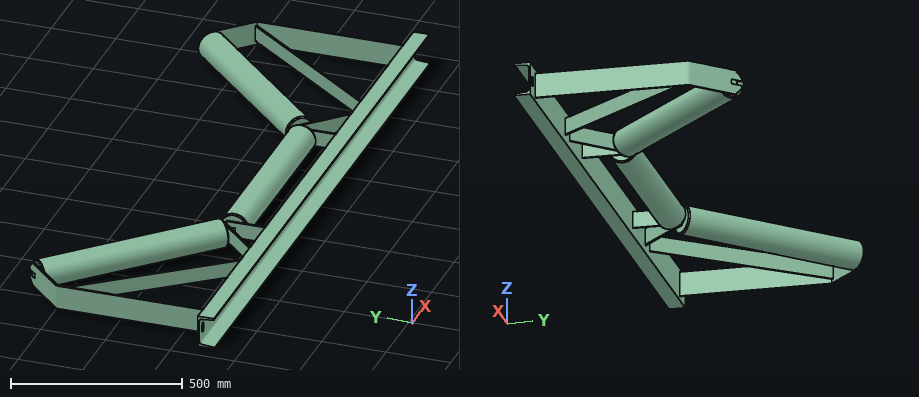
import cadquery as cq
import math


BEAM_LENGTH = 1900.0
BEAM_HEIGHT = 100.0
BEAM_DEPTH = 50.0
WEB_THICKNESS = 5.0
FLANGE_THICKNESS = 7.5
FLANGE_TAPER = 5.0
ROOT_RADIUS = 8.0
TOE_RADIUS = 4.0
BOLT_SLOT_WIDTH = 18.0
BOLT_SLOT_LENGTH = 28.0
BOLT_SLOT_INSET = 30.0

BAR_THICKNESS = 6.0
BAR_GAP = 8.0
OUTER_WIDTH = 75.0
OUTER_TIP_LENGTH = 26.0
OUTER_TIP_CHAMFER = 20.0
BEND_RADIUS = 14.0
INNER_WIDTH = 50.0
INNER_TIP_LENGTH = 29.0
INNER_TIP_CHAMFER = 12.0
UPRIGHT_X = 885.0
BRACE_WIDTH = 50.0
BRACE_THICKNESS = 6.0
BRACE_FOOT_X = 514.0

ROLLER_DIAMETER = 89.0
ROLLER_LENGTH = 600.0
ROLLER_EDGE_CHAMFER = 4.0
SHAFT_DIAMETER = 20.0
SHAFT_FLATS = 14.0
SHAFT_OVERHANG = BAR_GAP + BAR_THICKNESS
LEVEL_ROLLER_Y = 117.0
TILT = 45.0
TILTED_ROLLER_CENTRE = (553.0, 349.17)

ROLLER_HALF = ROLLER_LENGTH / 2
SHAFT_HALF = ROLLER_HALF + SHAFT_OVERHANG
UPRIGHT_INNER_X = UPRIGHT_X - BAR_THICKNESS
TILT_SLOPE = math.tan(math.radians(TILT))
TILT_AXIS = (math.cos(math.radians(TILT)), math.sin(math.radians(TILT)))
TILT_ACROSS = (-TILT_AXIS[1], TILT_AXIS[0])


def step(point, distance, direction):
    """The point a distance away along a unit direction in the XY plane."""
    return (point[0] + distance * direction[0], point[1] + distance * direction[1])


HIGH_NEAR = step(TILTED_ROLLER_CENTRE, ROLLER_HALF + BAR_GAP, TILT_AXIS)
HIGH_FAR = step(TILTED_ROLLER_CENTRE, SHAFT_HALF, TILT_AXIS)
LOW_NEAR = step(TILTED_ROLLER_CENTRE, -ROLLER_HALF - BAR_GAP, TILT_AXIS)
LOW_FAR = step(TILTED_ROLLER_CENTRE, -SHAFT_HALF, TILT_AXIS)


def on_bar_face(point, x):
    """The point at x on the tilted bar face that passes through the given point."""
    return (x, point[1] - (x - point[0]) / TILT_SLOPE)


def on_beam(point):
    """Where the tilted bar face through the given point meets the beam."""
    return (point[0] + point[1] * TILT_SLOPE, 0)


BEND_OUTSIDE = on_bar_face(HIGH_FAR, UPRIGHT_X)
BEND_INSIDE = on_bar_face(HIGH_NEAR, UPRIGHT_INNER_X)


def channel_beam():
    half_height = BEAM_HEIGHT / 2
    half_rise = (BEAM_DEPTH - WEB_THICKNESS) / 2 * math.tan(math.radians(FLANGE_TAPER))
    toe = (-BEAM_DEPTH, half_height - FLANGE_THICKNESS + half_rise)
    root = (-WEB_THICKNESS, half_height - FLANGE_THICKNESS - half_rise)
    beam = (
        cq.Workplane("YZ")
        .polyline([
            (0, -half_height), (0, half_height), (-BEAM_DEPTH, half_height), toe,
            root, (root[0], -root[1]),
            (toe[0], -toe[1]), (-BEAM_DEPTH, -half_height),
        ])
        .close()
        .extrude(BEAM_LENGTH / 2, both=True)
    )
    for (y, z), radius in ((root, ROOT_RADIUS), (toe, TOE_RADIUS)):
        for side in (1, -1):
            edge = cq.selectors.NearestToPointSelector((0, y, side * z))
            beam = beam.edges(edge).fillet(radius)
    slot_x = BEAM_LENGTH / 2 - BOLT_SLOT_INSET
    slots = (
        cq.Workplane("XZ")
        .pushPoints([(-slot_x, 0), (slot_x, 0)])
        .slot2D(BOLT_SLOT_LENGTH, BOLT_SLOT_WIDTH, 90)
        .extrude(WEB_THICKNESS)
    )
    return beam.cut(slots)


def shaft_end():
    """Flattened shaft section as thick as a bar, along X from the origin, with flats facing Z."""
    flats = cq.Workplane("YZ").rect(SHAFT_DIAMETER, SHAFT_FLATS).extrude(BAR_THICKNESS)
    return cq.Workplane("YZ").circle(SHAFT_DIAMETER / 2).extrude(BAR_THICKNESS).intersect(flats)


def roller():
    """Roller with its shaft, centred on the origin along X."""
    barrel = (
        cq.Workplane("XZ")
        .rect(ROLLER_LENGTH, ROLLER_DIAMETER / 2, centered=(True, False))
        .revolve(360, (0, 0, 0), (1, 0, 0))
        .faces("<X or >X")
        .chamfer(ROLLER_EDGE_CHAMFER)
    )
    inner_half = ROLLER_HALF + BAR_GAP
    shaft = cq.Workplane("YZ").circle(SHAFT_DIAMETER / 2).extrude(inner_half, both=True)
    flat_end = shaft_end().translate((inner_half, 0, 0))
    return barrel.union(shaft).union(flat_end).union(flat_end.mirror("YZ"))


def tilted_roller():
    return roller().rotate((0, 0, 0), (0, 0, 1), TILT).translate((*TILTED_ROLLER_CENTRE, 0))


def bar(side_outline, width):
    """Flat bar drawn edge-on in XY, with its width centred on Z = 0."""
    return cq.Workplane("XY").polyline(side_outline).close().extrude(width / 2, both=True)


def tip_cutter(shaft_point, tilt, tip_length, width, chamfer):
    """Everything cut from a bar tip: both corners and the open slot that takes the shaft.

    It spans the bar thickness, starting at the shaft point and going along the shaft axis."""
    half = width / 2
    corner = (
        cq.Workplane("YZ")
        .polyline([(tip_length, half), (tip_length - chamfer, half), (tip_length, half - chamfer)])
        .close()
        .extrude(BAR_THICKNESS)
    )
    slot_mouth = (
        cq.Workplane("YZ")
        .rect(tip_length, SHAFT_FLATS, centered=(False, True))
        .extrude(BAR_THICKNESS)
    )
    cutter = corner.union(corner.mirror("XY")).union(shaft_end()).union(slot_mouth)
    return cutter.rotate((0, 0, 0), (0, 0, 1), tilt).translate((*shaft_point, 0))


def outer_bracket():
    """Upright bent inward at the top to hold the high end of the tilted roller."""
    bracket = bar(
        [
            (UPRIGHT_INNER_X, 0), (UPRIGHT_X, 0), BEND_OUTSIDE,
            step(HIGH_FAR, OUTER_TIP_LENGTH, TILT_ACROSS),
            step(HIGH_NEAR, OUTER_TIP_LENGTH, TILT_ACROSS), BEND_INSIDE,
        ],
        OUTER_WIDTH,
    )
    bend_edge = cq.selectors.NearestToPointSelector((*BEND_OUTSIDE, 0))
    bracket = bracket.edges(bend_edge).fillet(BEND_RADIUS)
    return bracket.cut(tip_cutter(HIGH_NEAR, TILT, OUTER_TIP_LENGTH, OUTER_WIDTH, OUTER_TIP_CHAMFER))


def inner_bracket():
    """Post for the level roller joined at its tip to a sloping strut for the tilted roller."""
    post_x = ROLLER_HALF + BAR_GAP
    post_top = LEVEL_ROLLER_Y + INNER_TIP_LENGTH
    post = bar(
        [(post_x, 0), (SHAFT_HALF, 0), (SHAFT_HALF, post_top), (post_x, post_top)],
        INNER_WIDTH,
    )
    strut = bar(
        [
            on_beam(LOW_FAR), on_beam(LOW_NEAR),
            step(LOW_NEAR, INNER_TIP_LENGTH, TILT_ACROSS),
            step(LOW_FAR, INNER_TIP_LENGTH, TILT_ACROSS),
        ],
        INNER_WIDTH,
    )
    tip = (INNER_TIP_LENGTH, INNER_WIDTH, INNER_TIP_CHAMFER)
    post = post.cut(tip_cutter((post_x, LEVEL_ROLLER_Y), 0, *tip))
    strut = strut.cut(tip_cutter(LOW_FAR, TILT, *tip))
    return post.union(strut)


def brace():
    """Diagonal bar from the beam to the tilted bar, its lower side ending inside the bend."""
    top = step(BEND_INSIDE, BRACE_THICKNESS, TILT_ACROSS)
    run_per_rise = (top[0] - BRACE_FOOT_X) / top[1]
    lower_foot_x = BEND_INSIDE[0] - BEND_INSIDE[1] * run_per_rise
    return bar([(BRACE_FOOT_X, 0), (lower_foot_x, 0), BEND_INSIDE, top], BRACE_WIDTH)


def both_sides(body):
    return [body.val(), body.mirror("YZ").val()]


beam = channel_beam()
level_roller = roller().translate((0, LEVEL_ROLLER_Y, 0))

result = cq.Compound.makeCompound([
    beam.val(),
    level_roller.val(),
    *both_sides(tilted_roller()),
    *both_sides(outer_bracket()),
    *both_sides(inner_bracket()),
    *both_sides(brace()),
])